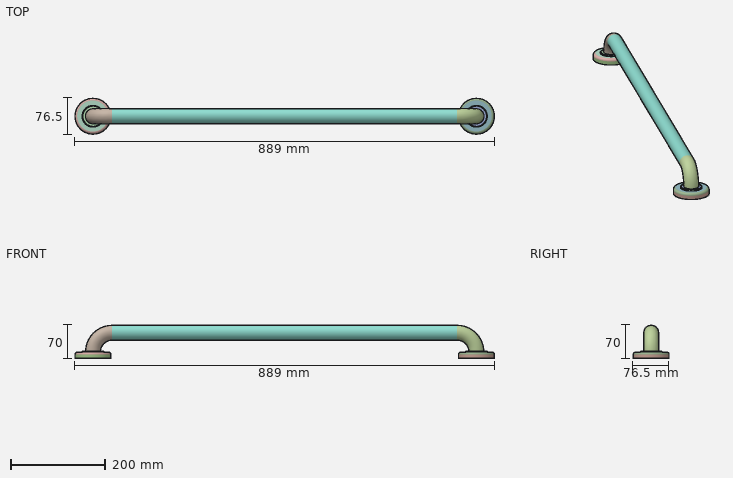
import cadquery as cq

overall_length = 889.0
overall_height = 70.0

flange_diameter = 76.5
flange_height = 13.0
flange_edge_radius = 5.0
collar_diameter = 46.0
collar_height = 3.0
collar_edge_chamfer = 2.0

tube_diameter = 32.0
bend_radius = 41.0

post_x = (overall_length - flange_diameter) / 2
rail_z = overall_height - tube_diameter / 2
bend_start_z = rail_z - bend_radius
bend_end_x = post_x - bend_radius


def make_flange(center_x):
    """Round flange with a softened rim and a low chamfered collar."""
    plate = (
        cq.Workplane("XY")
        .center(center_x, 0)
        .circle(flange_diameter / 2)
        .extrude(flange_height)
        .faces(">Z")
        .edges()
        .fillet(flange_edge_radius)
    )
    collar = (
        cq.Workplane("XY", origin=(center_x, 0, flange_height))
        .circle(collar_diameter / 2)
        .extrude(collar_height)
        .faces(">Z")
        .edges()
        .chamfer(collar_edge_chamfer)
    )
    return plate.union(collar)


def make_rail():
    """Round bar rising from both flanges through quarter-circle bends."""
    path = (
        cq.Workplane("XZ")
        .moveTo(-post_x, 0)
        .lineTo(-post_x, bend_start_z)
        .tangentArcPoint((-bend_end_x, rail_z), relative=False)
        .lineTo(bend_end_x, rail_z)
        .tangentArcPoint((post_x, bend_start_z), relative=False)
        .lineTo(post_x, 0)
    )
    return (
        cq.Workplane("XY", origin=(-post_x, 0, 0))
        .circle(tube_diameter / 2)
        .sweep(path)
    )


result = make_rail()
for flange_x in (-post_x, post_x):
    result = result.union(make_flange(flange_x))